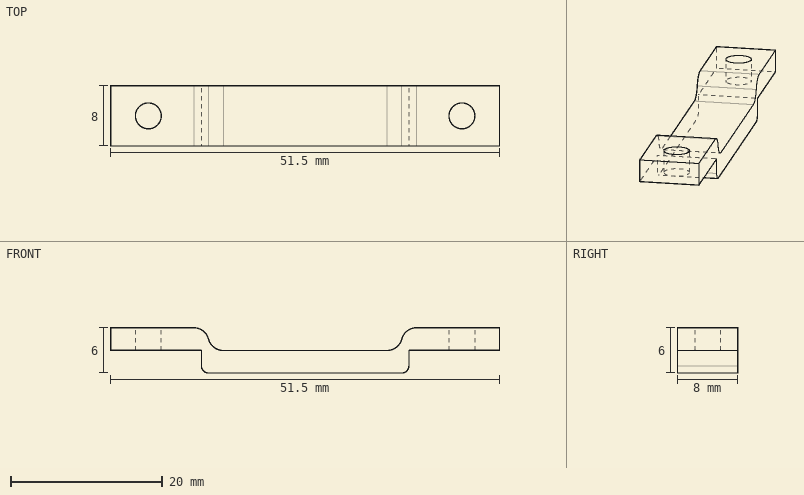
import cadquery as cq
import math

length = 51.5
width = 8.0
height = 6.0
thickness = height / 2

step_from_end = 12.0
bend_start_from_end = 11.0
bend_radius = 2.0
bottom_fillet = 1.0

hole_diameter = 3.4
hole_from_end = 5.0

half_drop = thickness / 2
half_run = math.sqrt(2 * bend_radius * half_drop - half_drop**2)

half_length = length / 2
step_x = half_length - step_from_end
bend_top_x = half_length - bend_start_from_end
bend_middle_x = bend_top_x - half_run
bend_bottom_x = bend_middle_x - half_run
hole_x = half_length - hole_from_end


def make_strip():
    """Extrude half of the joggled profile across the width and mirror it."""
    half = (
        cq.Workplane("XZ")
        .moveTo(0, 0)
        .lineTo(step_x, 0)
        .lineTo(step_x, thickness)
        .lineTo(half_length, thickness)
        .lineTo(half_length, height)
        .lineTo(bend_top_x, height)
        .tangentArcPoint((bend_middle_x, height - half_drop), relative=False)
        .tangentArcPoint((bend_bottom_x, thickness), relative=False)
        .lineTo(0, thickness)
        .close()
        .extrude(width / 2, both=True)
    )
    return half.union(half.mirror("YZ")).clean()


def round_bottom_edges(body):
    """Round the two lower edges across the width of the centre strip."""
    return body.faces("<Z").edges("|Y").fillet(bottom_fillet)


def drill_tabs(body):
    """Cut one through hole in each end tab."""
    holes = (
        cq.Workplane("XY")
        .pushPoints([(-hole_x, 0), (hole_x, 0)])
        .circle(hole_diameter / 2)
        .extrude(height)
    )
    return body.cut(holes)


result = drill_tabs(round_bottom_edges(make_strip()))